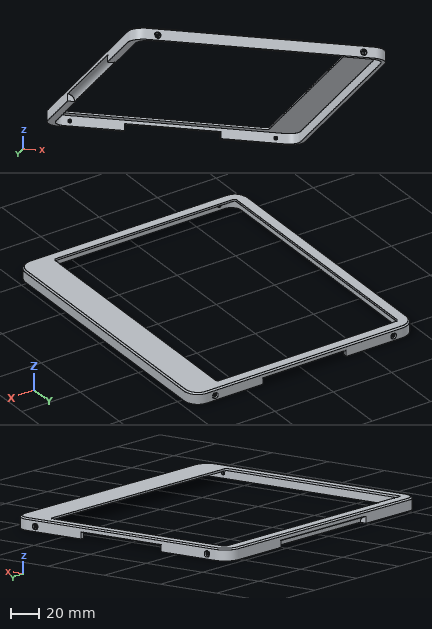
import cadquery as cq

length_x = 191.0
length_y = 226.7
height = 9.3
corner_radius = 11.8
top_chamfer = 1.1

left_border = 9.5
right_border = 26.3
end_border = 8.8
window_radius = 1.8
window_x = length_x - left_border - right_border
window_y = length_y - 2 * end_border
window_center_x = (left_border - right_border) / 2

plate_thickness = 1.5
wall = 3.2
left_wall = 6.1
cavity_x = length_x - wall - left_wall
cavity_y = length_y - 2 * wall
cavity_center_x = (left_wall - wall) / 2
cavity_depth = height - plate_thickness
cavity_radius = corner_radius - wall

scoop_radius = 5.2
scoop_length = 101.0

opening_width = 71.2
opening_height = 5.2

hole_diameter = 2.5
head_diameter = 4.5
head_depth = 1.8
hole_offset_x = 76.4
hole_z = 3.9


def rounded_block(size_x, size_y, size_z, radius, center_x=0.0):
    """Block standing on Z = 0 with rounded vertical edges."""
    block = cq.Workplane("XY").center(center_x, 0).rect(size_x, size_y).extrude(size_z)
    return block.edges("|Z").fillet(radius)


def drill_end_wall(body, face):
    """Counterbore two screw holes through the wall at the given end."""
    return (
        body.faces(face)
        .workplane(origin=(0, 0, hole_z))
        .pushPoints([(-hole_offset_x, 0), (hole_offset_x, 0)])
        .cboreHole(hole_diameter, head_diameter, head_depth, depth=2 * wall)
    )


bezel = rounded_block(length_x, length_y, height, corner_radius)
bezel = bezel.faces(">Z").edges().chamfer(top_chamfer)

bezel = bezel.cut(rounded_block(cavity_x, cavity_y, cavity_depth, cavity_radius, cavity_center_x))
bezel = bezel.cut(rounded_block(window_x, window_y, height, window_radius, window_center_x))

scoop = (
    cq.Workplane("XZ")
    .center(-length_x / 2, 0)
    .circle(scoop_radius)
    .extrude(scoop_length / 2, both=True)
)
bezel = bezel.cut(scoop)

for end_face in ("<Y", ">Y"):
    bezel = drill_end_wall(bezel, end_face)

wall_center_y = (length_y - wall) / 2
opening = (
    cq.Workplane("XY")
    .center(0, wall_center_y)
    .rect(opening_width, wall)
    .extrude(opening_height)
)
result = bezel.cut(opening)